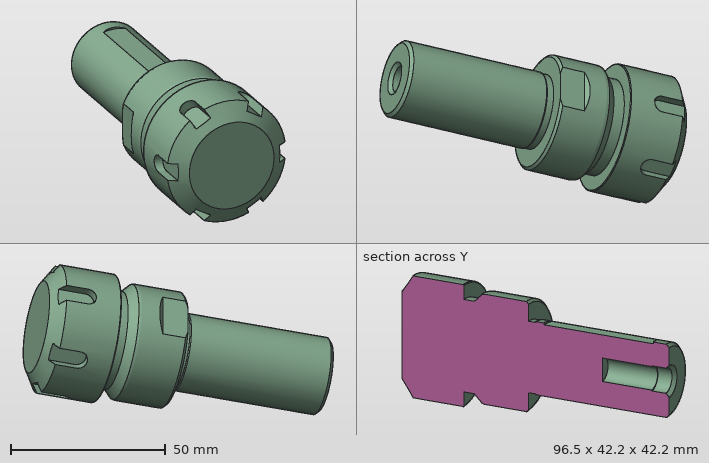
import cadquery as cq
import math

total_length = 96.5

shank_radius = 25.4 / 2
shank_end_chamfer = 1.1
shank_end = 48.5
shank_rear_chamfer = 0.4
relief_radius = 24.8 / 2

flat_start = 5.8
flat_end = 45.2
flat_width = 7.8
flat_end_bulge = 1.0
flat_height = math.sqrt(shank_radius**2 - (flat_width / 2) ** 2)

collar_radius = 38.1 / 2
collar_start = 50.7
collar_chamfer = 0.9
collar_end = 66.6
shoulder_end = 67.6
shoulder_drop = 0.2
neck_radius = 32.0 / 2
neck_start = 70.4

wrench_flat_distance = 35.2
wrench_flat_end = 59.2

nut_radius = 42.2 / 2
nut_start = 74.0
nut_rear_chamfer = 0.3
nut_cone_start = 92.5
nut_face_radius = 30.1 / 2

slot_count = 6
slot_width = 5.9
slot_start = 82.5
slot_floor_radius = 18.05

hole_diameter = 7.9
entry_diameter = 8.5
entry_depth = 6.3
countersink_diameter = 10.9
hole_depth = 24.1


def turned_body():
    profile = [
        (0, 0),
        (0, shank_radius - shank_end_chamfer),
        (shank_end_chamfer, shank_radius),
        (shank_end - shank_rear_chamfer, shank_radius),
        (shank_end, relief_radius),
        (collar_start, relief_radius),
        (collar_start, collar_radius - collar_chamfer),
        (collar_start + collar_chamfer, collar_radius),
        (collar_end, collar_radius),
        (shoulder_end, collar_radius - shoulder_drop),
        (neck_start, neck_radius),
        (nut_start, neck_radius),
        (nut_start, nut_radius - nut_rear_chamfer),
        (nut_start + nut_rear_chamfer, nut_radius),
        (nut_cone_start, nut_radius),
        (total_length, nut_face_radius),
        (total_length, 0),
    ]
    return cq.Workplane("XY").polyline(profile).close().revolve(360, (0, 0, 0), (1, 0, 0))


def shank_flat_cutter():
    half = flat_width / 2
    corner_start = flat_start + flat_end_bulge
    corner_end = flat_end - flat_end_bulge
    return (
        cq.Workplane("XY", origin=(0, 0, flat_height))
        .moveTo(corner_start, -half)
        .lineTo(corner_end, -half)
        .threePointArc((flat_end, 0), (corner_end, half))
        .lineTo(corner_start, half)
        .threePointArc((flat_start, 0), (corner_start, -half))
        .close()
        .extrude(shank_radius)
    )


def wrench_flat_cutter():
    """Cutter on the -Y side: a flat that runs out at 45 degrees."""
    inner = wrench_flat_distance / 2
    outer = nut_radius
    outline = [
        (collar_start, -inner),
        (wrench_flat_end, -inner),
        (wrench_flat_end + outer - inner, -outer),
        (collar_start, -outer),
    ]
    return cq.Workplane("XY").polyline(outline).close().extrude(collar_radius, both=True)


def nut_slot_cutter():
    """Round-ended slot on the -Y side, open toward the nut face."""
    half = slot_width / 2
    return (
        cq.Workplane("XZ", origin=(0, -slot_floor_radius, 0))
        .moveTo(total_length, -half)
        .lineTo(slot_start + half, -half)
        .threePointArc((slot_start, 0), (slot_start + half, half))
        .lineTo(total_length, half)
        .close()
        .extrude(nut_radius)
    )


def hole_cutter():
    hole_radius = hole_diameter / 2
    entry_radius = entry_diameter / 2
    countersink_radius = countersink_diameter / 2
    profile = [
        (0, 0),
        (0, countersink_radius),
        (countersink_radius - entry_radius, entry_radius),
        (entry_depth, entry_radius),
        (entry_depth, hole_radius),
        (hole_depth, hole_radius),
        (hole_depth, 0),
    ]
    return cq.Workplane("XY").polyline(profile).close().revolve(360, (0, 0, 0), (1, 0, 0))


result = turned_body().cut(shank_flat_cutter()).cut(hole_cutter())

wrench_flat = wrench_flat_cutter()
result = result.cut(wrench_flat).cut(wrench_flat.mirror("XZ"))

for index in range(slot_count):
    slot = nut_slot_cutter().rotate((0, 0, 0), (1, 0, 0), index * 360 / slot_count)
    result = result.cut(slot)